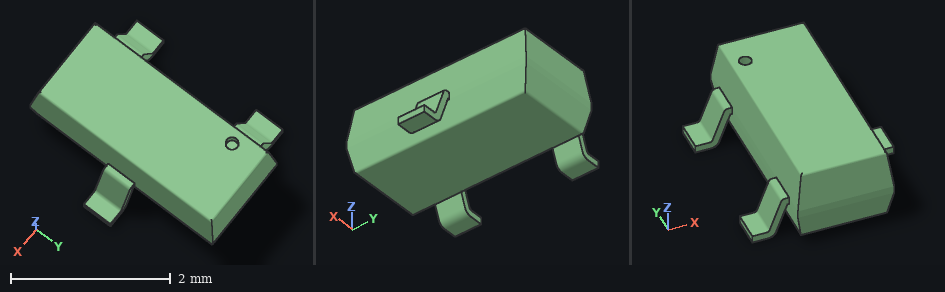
import cadquery as cq
import math

SPAN_X = 2.3
BODY_LENGTH = 2.9
TOP_Z = 1.1

BODY_WIDTH = 1.305
BODY_BOTTOM_Z = 0.102
BAND_TOP_Z = 0.58
TAPER_INSET = 0.072
EDGE_RADIUS = 0.03

MARK_DIAMETER = 0.162
MARK_DEPTH = 0.145
MARK_X = -0.39
MARK_Y = 0.945

LEAD_THICKNESS = 0.105
LEAD_WIDTH = 0.423
LEAD_PITCH = 1.895
LEAD_SLOPE = 69.5
FOOT_LENGTH = 0.223
SHOULDER_RADIUS = 0.058
HEEL_INNER_RADIUS = 0.05
HEEL_OUTER_RADIUS = 0.122

BAND_BOTTOM_Z = BAND_TOP_Z - LEAD_THICKNESS


def tapered_half(start_z, end_z):
    """Loft from the band outline to a smaller rectangle, with a rounded end face."""
    half = (
        cq.Workplane("XY", origin=(0, 0, start_z))
        .rect(BODY_WIDTH, BODY_LENGTH)
        .workplane(offset=end_z - start_z)
        .rect(BODY_WIDTH - 2 * TAPER_INSET, BODY_LENGTH - 2 * TAPER_INSET)
        .loft(ruled=True)
    )
    end_face = ">Z" if end_z > start_z else "<Z"
    return half.faces(end_face).edges().fillet(EDGE_RADIUS)


def make_body():
    band = (
        cq.Workplane("XY", origin=(0, 0, BAND_BOTTOM_Z))
        .rect(BODY_WIDTH, BODY_LENGTH)
        .extrude(LEAD_THICKNESS)
    )
    upper_half = tapered_half(BAND_TOP_Z, TOP_Z)
    lower_half = tapered_half(BAND_BOTTOM_Z, BODY_BOTTOM_Z)
    mark = (
        cq.Workplane("XY", origin=(MARK_X, MARK_Y, TOP_Z))
        .circle(MARK_DIAMETER / 2)
        .extrude(-MARK_DEPTH)
    )
    return band.union(upper_half).union(lower_half).cut(mark)


def make_lead(center_y):
    """Lead on the -X side, from the body's side face out to the foot tip."""
    slope = math.radians(LEAD_SLOPE)
    tip_x = -SPAN_X / 2
    root_x = -BODY_WIDTH / 2
    heel_x = tip_x + FOOT_LENGTH
    shoulder_x = heel_x + (BAND_TOP_Z - LEAD_THICKNESS) / math.tan(slope)
    bend_shift = LEAD_THICKNESS * math.tan(slope / 2)
    lead = (
        cq.Workplane("XZ", origin=(0, center_y + LEAD_WIDTH / 2, 0))
        .moveTo(tip_x, 0)
        .lineTo(heel_x + bend_shift, 0)
        .lineTo(shoulder_x + bend_shift, BAND_BOTTOM_Z)
        .lineTo(root_x, BAND_BOTTOM_Z)
        .lineTo(root_x, BAND_TOP_Z)
        .lineTo(shoulder_x, BAND_TOP_Z)
        .lineTo(heel_x, LEAD_THICKNESS)
        .lineTo(tip_x, LEAD_THICKNESS)
        .close()
        .extrude(LEAD_WIDTH)
    )

    def round_bend(solid, x, z, radius):
        bend_edge = cq.selectors.NearestToPointSelector((x, center_y, z))
        return solid.edges("|Y").edges(bend_edge).fillet(radius)

    lead = round_bend(lead, shoulder_x, BAND_TOP_Z, SHOULDER_RADIUS)
    lead = round_bend(lead, heel_x, LEAD_THICKNESS, HEEL_INNER_RADIUS)
    return round_bend(lead, heel_x + bend_shift, 0, HEEL_OUTER_RADIUS)


body = make_body()

lead_places = [(-LEAD_PITCH / 2, 0), (LEAD_PITCH / 2, 0), (0, 180)]
leads = []
for lead_y, turn in lead_places:
    lead = make_lead(lead_y).rotate((0, 0, 0), (0, 0, 1), turn)
    leads.append(lead.val())

result = cq.Compound.makeCompound([body.val(), *leads])